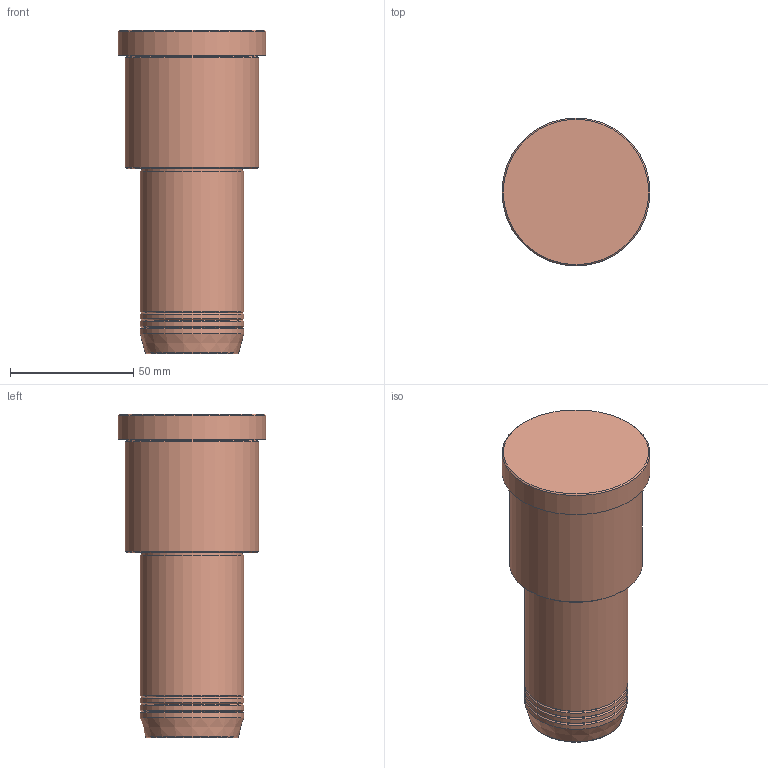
import cadquery as cq
import math

total_height = 131.0
head_radius = 30.0
head_height = 10.0
collar_radius = 27.0
collar_height = 46.0
shank_radius = 21.0

nose_edge_radius = 0.5
edge_chamfer = 0.5
relief_depth = 0.5
head_relief_height = 0.5
collar_relief_height = 1.0

nose_height = 8.0
nose_half_angle = math.radians(15)
groove_width = 1.0
groove_depth = 0.5
groove_count = 3
groove_pitch = 3.0
first_groove_z = 10.5

head_bottom = total_height - head_height
collar_bottom = head_bottom - collar_height
collar_top = head_bottom - head_relief_height
shank_top = collar_bottom - collar_relief_height
nose_radius = shank_radius - nose_height * math.tan(nose_half_angle)


def disc(radius, bottom, top):
    """Plain cylinder about the Z axis between two levels."""
    return cq.Workplane("XY").workplane(offset=bottom).circle(radius).extrude(top - bottom)


def v_groove(center_z):
    """Ring with a triangular section that cuts one V groove around the shank."""
    overrun = groove_depth
    outer_half_width = groove_width / 2 * (groove_depth + overrun) / groove_depth
    section = (
        cq.Workplane("XZ")
        .moveTo(shank_radius - groove_depth, center_z)
        .lineTo(shank_radius + overrun, center_z - outer_half_width)
        .lineTo(shank_radius + overrun, center_z + outer_half_width)
        .close()
    )
    return section.revolve(360, (0, 0), (0, 1))


def grooved_shank():
    """Shank with a conical, round-edged nose and evenly spaced V grooves above it."""
    profile = (
        cq.Workplane("XZ")
        .lineTo(nose_radius, 0)
        .lineTo(shank_radius, nose_height)
        .lineTo(shank_radius, shank_top)
        .lineTo(0, shank_top)
        .close()
    )
    shank = profile.revolve(360, (0, 0), (0, 1)).faces("<Z").edges().fillet(nose_edge_radius)
    for index in range(groove_count):
        shank = shank.cut(v_groove(first_groove_z + index * groove_pitch))
    return shank


def collar():
    """Collar chamfered at both ends."""
    return disc(collar_radius, collar_bottom, collar_top).faces("<Z or >Z").edges().chamfer(edge_chamfer)


def head():
    """Head flange chamfered along its top edge."""
    return disc(head_radius, head_bottom, total_height).faces(">Z").edges().chamfer(edge_chamfer)


collar_relief = disc(shank_radius - relief_depth, shank_top, collar_bottom)
head_relief = disc(collar_radius - relief_depth, collar_top, head_bottom)

result = grooved_shank().union(collar_relief).union(collar()).union(head_relief).union(head())